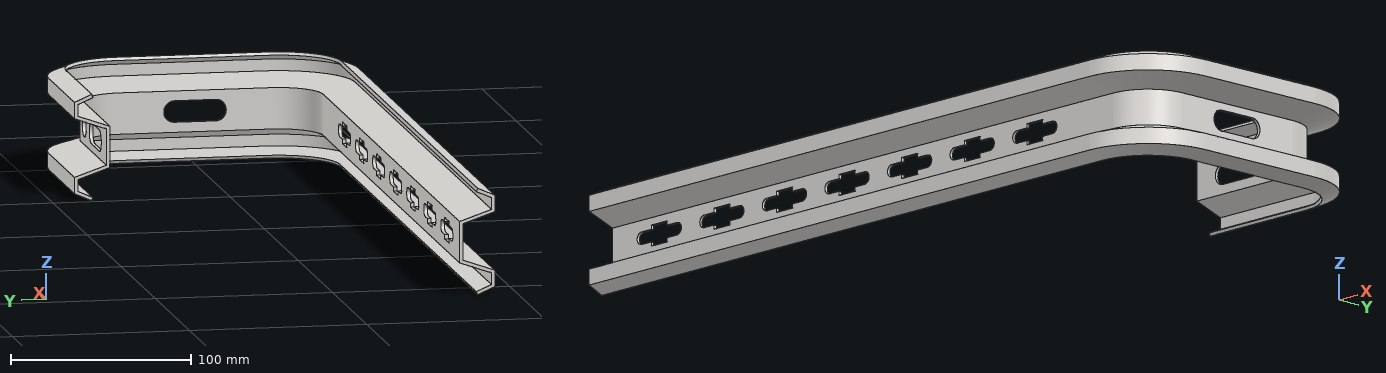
import cadquery as cq
import math

length = 445.0
width = 175.0
height = 60.0
short_arm = 120.0
depth = 20.0
bend_radius = 45.0
thickness = 2.0

web_half = 10.2
flange_bottom = 16.5
flange_top = 26.0
lip_depth = 10.0

slot_length = 35.0
slot_height = 12.0
key_slot_count = 7
key_slot_span = 300.0
key_slot_start = 37.5
key_slot_height = 7.0
key_centre_length = 12.5
short_slot_offset = 32.5
short_hole_offset = 65.0
short_hole_diameter = 11.5

half_height = height / 2
bend_x = length - bend_radius
short_end_x = length - short_arm
mid_y = width / 2
key_slot_pitch = key_slot_span / (key_slot_count - 1)
web_inset = depth - thickness / 2
cut_depth = 3 * thickness


def mitre(dx, dz):
    """Height shift of the inner corner where the flange or web meets a slope."""
    return thickness * (math.hypot(dx, dz) - dz) / dx


def section_points():
    """Closed outline of the rail section as (depth behind flange face, Z)."""
    web_shift = mitre(depth - thickness, flange_bottom - web_half)
    lip_rise = half_height - flange_top
    lip_shift = mitre(lip_depth, lip_rise)
    lip_run = math.hypot(lip_depth, lip_rise)
    lip_end = (
        lip_depth + thickness * lip_rise / lip_run,
        half_height - thickness * lip_depth / lip_run,
    )
    front = [
        (depth - thickness, web_half),
        (0, flange_bottom),
        (0, flange_top),
        (lip_depth, half_height),
    ]
    back = [
        lip_end,
        (thickness, flange_top - lip_shift),
        (thickness, flange_bottom + web_shift),
        (depth, web_half + web_shift),
    ]
    upper = front + back
    lower = [(d, -z) for d, z in reversed(upper)]
    return upper + lower


def rail():
    """Sheet-metal rail swept along the J-shaped line of its flange face."""
    arc_reach = bend_radius * math.sqrt(0.5)
    arc_x = bend_x + arc_reach
    path = (
        cq.Workplane("XY")
        .lineTo(bend_x, 0)
        .threePointArc((arc_x, bend_radius - arc_reach), (length, bend_radius))
        .lineTo(length, width - bend_radius)
        .threePointArc((arc_x, width - bend_radius + arc_reach), (bend_x, width))
        .lineTo(short_end_x, width)
    )
    return cq.Workplane("YZ").polyline(section_points()).close().sweep(path)


def arm_web_plane(x, web_centre_y):
    """Workplane just outside an arm's web, whose extrusions run along -Y through it."""
    return cq.Workplane("XZ", origin=(x, web_centre_y + cut_depth / 2, 0))


def key_slots():
    """Row of stepped slots through the web of the long arm."""
    centres = [(key_slot_start + i * key_slot_pitch, 0) for i in range(key_slot_count)]
    plane = arm_web_plane(0, web_inset).pushPoints(centres)
    narrow = plane.slot2D(slot_length, key_slot_height).extrude(cut_depth)
    wide = plane.rect(key_centre_length, slot_height).extrude(cut_depth)
    return narrow.union(wide)


def short_arm_openings():
    """Slot and round hole through the web of the short arm."""
    web_y = width - web_inset
    slot_plane = arm_web_plane(short_end_x + short_slot_offset, web_y)
    hole_plane = arm_web_plane(short_end_x + short_hole_offset, web_y)
    slot = slot_plane.slot2D(slot_length, slot_height).extrude(cut_depth)
    hole = hole_plane.circle(short_hole_diameter / 2).extrude(cut_depth)
    return slot.union(hole)


def back_slot():
    """Slot through the web of the leg joining the two arms."""
    plane = cq.Workplane("YZ", origin=(length - web_inset - cut_depth / 2, mid_y, 0))
    return plane.slot2D(slot_length, slot_height).extrude(cut_depth)


result = rail().cut(key_slots()).cut(short_arm_openings()).cut(back_slot())